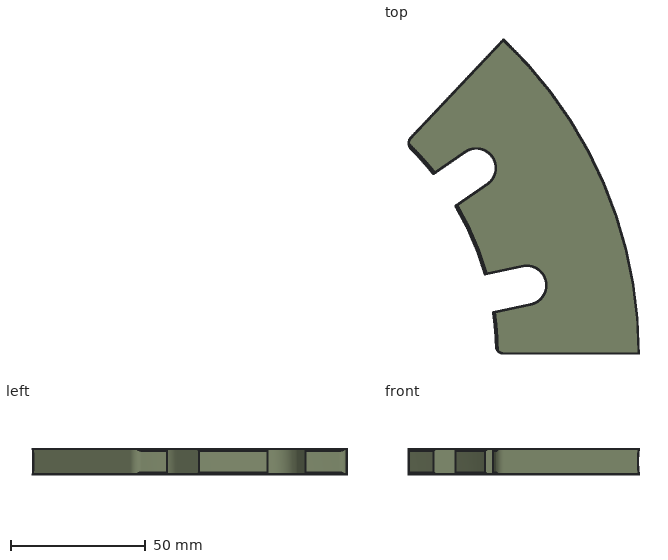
import cadquery as cq
import math

thickness = 9.5
depth_y = 116.6
outer_radius = 160.5
inner_radius = 107.4
inner_chamfer = 0.7
rim_hollow = 0.29
corner_radius = 2.9
slot_radius = 7.2
slot_centre_distance = 121.5
slot_count = 2
slot_pitch = 22.5

sector_angle = math.degrees(math.asin(depth_y / outer_radius))


def polar(radius, angle):
    """Point at the given distance from the ring axis and angle in degrees."""
    return (
        radius * math.cos(math.radians(angle)),
        radius * math.sin(math.radians(angle)),
    )


def ring_sector():
    """Revolved section: chamfered bore edges and a slightly hollow outer rim."""
    chamfer_radius = inner_radius + inner_chamfer
    section = (
        cq.Workplane("XZ")
        .moveTo(chamfer_radius, 0)
        .lineTo(outer_radius, 0)
        .threePointArc(
            (outer_radius - rim_hollow, thickness / 2),
            (outer_radius, thickness),
        )
        .lineTo(chamfer_radius, thickness)
        .lineTo(inner_radius, thickness - inner_chamfer)
        .lineTo(inner_radius, inner_chamfer)
        .close()
    )
    return section.revolve(sector_angle, (0, 0, 0), (0, 1, 0))


def rounded_blank():
    """Plain sector with rounded inner corners that trims the chamfered ring."""
    half_angle = sector_angle / 2
    blank = (
        cq.Workplane("XY")
        .moveTo(*polar(inner_radius, 0))
        .lineTo(*polar(outer_radius, 0))
        .threePointArc(polar(outer_radius, half_angle), polar(outer_radius, sector_angle))
        .lineTo(*polar(inner_radius, sector_angle))
        .threePointArc(polar(inner_radius, half_angle), polar(inner_radius, 0))
        .close()
        .extrude(thickness)
    )
    for angle in (0, sector_angle):
        corner = (*polar(inner_radius, angle), thickness / 2)
        blank = blank.edges(cq.selectors.NearestToPointSelector(corner)).fillet(corner_radius)
    return blank


def slot(angle):
    """Radial round-ended slot that opens through the bore."""
    channel = (
        cq.Workplane("XY")
        .center(slot_centre_distance / 2, 0)
        .rect(slot_centre_distance, 2 * slot_radius)
        .extrude(thickness)
    )
    round_end = (
        cq.Workplane("XY")
        .center(slot_centre_distance, 0)
        .circle(slot_radius)
        .extrude(thickness)
    )
    return channel.union(round_end).rotate((0, 0, 0), (0, 0, 1), angle)


result = ring_sector().intersect(rounded_blank())

first_slot_angle = (sector_angle - (slot_count - 1) * slot_pitch) / 2
for index in range(slot_count):
    result = result.cut(slot(first_slot_angle + index * slot_pitch))